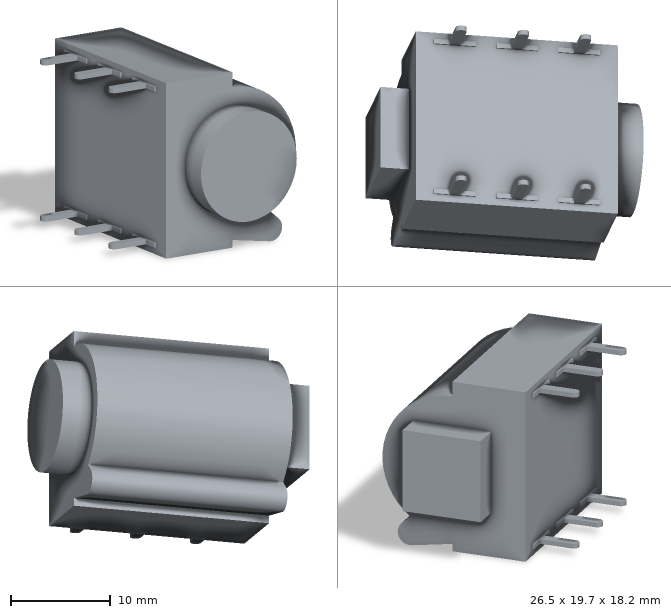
import cadquery as cq
import math

housing_length = 20.6
housing_height = 18.2
base_front_y = -7.9
back_radius = 7.55

lug_tip_y = 4.6
lug_tip_radius = 1.3
lug_tip_z = -housing_height / 2 + lug_tip_radius
lug_outer_slope = math.radians(10)
lug_inner_slope = math.radians(41)

nose_diameter = 11.4
nose_length = 3.03

rear_length = 2.9
rear_width = 8.4
rear_height = 8.7

terminal_thickness = 0.5
terminal_pitch = 6.35
terminal_count = 3
terminal_first_x = 3.93
terminal_row_z = 8.1
terminal_tip_y = -12.1
foot_width = 4.2
foot_depth = 0.2
leg_width = 1.1


def lug_edge_point(angle):
    """Point on the round tip of the lug, at an angle measured from +Y towards +Z."""
    return (
        lug_tip_y + lug_tip_radius * math.cos(angle),
        lug_tip_z + lug_tip_radius * math.sin(angle),
    )


def make_lug():
    """Lug outline whose two straight sides are tangent to the round tip and run in to Y = 0."""
    inner_tangent = lug_edge_point(math.pi / 2 - lug_inner_slope)
    tip_middle = lug_edge_point(0)
    outer_tangent = lug_edge_point(-math.pi / 2 - lug_outer_slope)
    inner_root_z = inner_tangent[1] + inner_tangent[0] * math.tan(lug_inner_slope)
    outer_root_z = outer_tangent[1] + outer_tangent[0] * math.tan(lug_outer_slope)
    return (
        cq.Workplane("YZ")
        .moveTo(0, inner_root_z)
        .lineTo(*inner_tangent)
        .threePointArc(tip_middle, outer_tangent)
        .lineTo(0, outer_root_z)
        .close()
        .extrude(housing_length)
    )


def make_housing():
    """Base block, round back, lug and rear block joined into one solid."""
    base = (
        cq.Workplane("XY", origin=(0, base_front_y, 0))
        .box(housing_length, -base_front_y, housing_height, centered=(False, False, True))
    )
    round_back = (
        cq.Workplane("YZ")
        .moveTo(0, -back_radius)
        .threePointArc((back_radius, 0), (0, back_radius))
        .close()
        .extrude(housing_length)
    )
    rear_block = cq.Workplane("YZ").rect(rear_width, rear_height).extrude(-rear_length)
    return base.union(round_back).union(make_lug()).union(rear_block)


def make_nose():
    """Plain cylinder standing on the +X end face, around the plug axis."""
    return (
        cq.Workplane("YZ", origin=(housing_length, 0, 0))
        .circle(nose_diameter / 2)
        .extrude(nose_length)
    )


def make_terminal(x, z):
    """Wide foot lying on the base with a narrow, round-ended leg."""
    half_leg = leg_width / 2
    half_foot = foot_width / 2
    foot_y = base_front_y - foot_depth
    round_start_y = terminal_tip_y + half_leg
    return (
        cq.Workplane("XY", origin=(x, 0, z - terminal_thickness / 2))
        .moveTo(-half_foot, base_front_y)
        .lineTo(-half_foot, foot_y)
        .lineTo(-half_leg, foot_y)
        .lineTo(-half_leg, round_start_y)
        .threePointArc((0, terminal_tip_y), (half_leg, round_start_y))
        .lineTo(half_leg, foot_y)
        .lineTo(half_foot, foot_y)
        .lineTo(half_foot, base_front_y)
        .close()
        .extrude(terminal_thickness)
    )


housing = make_housing()
nose = make_nose()
terminals = [
    make_terminal(terminal_first_x + i * terminal_pitch, z)
    for z in (terminal_row_z, -terminal_row_z)
    for i in range(terminal_count)
]

result = cq.Compound.makeCompound(
    [housing.val(), nose.val(), *[terminal.val() for terminal in terminals]]
)